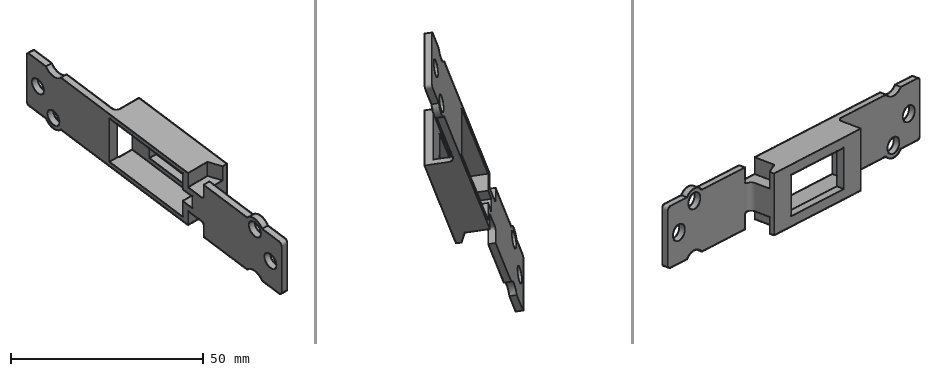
import cadquery as cq

plate_length = 100.5
plate_height = 18.0
plate_thickness = 2.0
corner_radius = 1.0
half_height = plate_height / 2

hole_diameter = 4.7
end_hole_x = 45.8
ear_hole_x = 39.7
ear_radius = 3.6
ear_protrusion = 1.5
ear_hole_z = half_height + ear_protrusion - ear_radius
recess_z = half_height - ear_protrusion + ear_radius

total_depth = 10.0
housing_left = -17.4
housing_right = 17.3
root_radius = 1.5

wall = 1.5
cavity_left = -17.6
cavity_right = 11.3
cavity_depth = 7.6
cavity_half_height = half_height - wall

window_left = -10.6
window_right = 10.4
window_half_height = cavity_half_height - wall

slot_right = 15.0
slot_half_height = 2.0

neck_half_height = 4.1
notch_left = 13.4
notch_right = 19.5
notch_corner_radius = 0.8
slope_start_depth = 6.7
slope_end_depth = 8.5


def box(x_min, x_max, y_min, y_max, z_min, z_max):
    """Block between the given limits."""
    size = (x_max - x_min, y_max - y_min, z_max - z_min)
    return cq.Workplane("XY").box(*size, centered=False).translate((x_min, y_min, z_min))


def plate_cylinder(x, z, radius):
    """Cylinder along Y through the thickness of the plate."""
    plane = cq.Workplane("XZ").center(x, z)
    return plane.circle(radius).extrude(-plate_thickness)


def make_plate():
    plate = box(-plate_length / 2, plate_length / 2, 0, plate_thickness, -half_height, half_height)
    plate = plate.edges("|Y").fillet(corner_radius)
    for side in (1, -1):
        plate = plate.union(plate_cylinder(side * ear_hole_x, side * ear_hole_z, ear_radius))
        plate = plate.cut(plate_cylinder(side * ear_hole_x, -side * recess_z, ear_radius))
        plate = plate.cut(plate_cylinder(side * ear_hole_x, side * ear_hole_z, hole_diameter / 2))
        plate = plate.cut(plate_cylinder(side * end_hole_x, 0, hole_diameter / 2))
    return plate


def make_housing():
    """Solid block with concave root fillets running onto the back of the plate."""
    root_y = plate_thickness + root_radius
    arc_offset = root_radius * (1 - 0.5**0.5)
    arc_y = plate_thickness + arc_offset
    profile = (
        cq.Workplane("XY")
        .moveTo(housing_left - root_radius, 0)
        .lineTo(housing_left - root_radius, plate_thickness)
        .threePointArc((housing_left - arc_offset, arc_y), (housing_left, root_y))
        .lineTo(housing_left, total_depth)
        .lineTo(housing_right, total_depth)
        .lineTo(housing_right, root_y)
        .threePointArc((housing_right + arc_offset, arc_y), (housing_right + root_radius, plate_thickness))
        .lineTo(housing_right + root_radius, 0)
        .close()
    )
    return profile.extrude(half_height, both=True)


def make_side_notch():
    """Upper notch beside the neck; its depth grows along the sloped overhang."""
    height = half_height - neck_half_height
    under_housing = (
        cq.Workplane("XY", origin=(0, 0, neck_half_height))
        .polyline([
            (notch_left, 0),
            (notch_left, slope_start_depth),
            (housing_right, slope_end_depth),
            (notch_right, slope_end_depth),
            (notch_right, 0),
        ])
        .close()
        .extrude(height)
    )
    return under_housing.edges("|Y and >X and <Z").fillet(notch_corner_radius)


body = make_plate().union(make_housing())

cavity = box(cavity_left, cavity_right, 0, cavity_depth, -cavity_half_height, cavity_half_height)
window = box(window_left, window_right, 0, total_depth, -window_half_height, window_half_height)
slot = box(cavity_right, slot_right, 0, cavity_depth, -slot_half_height, slot_half_height)
body = body.cut(cavity).cut(window).cut(slot)

upper_notch = make_side_notch()
result = body.cut(upper_notch).cut(upper_notch.mirror("XY"))